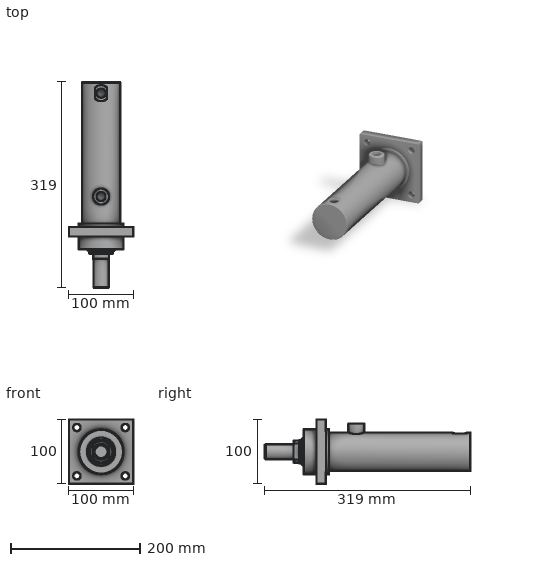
import cadquery as cq
import math

TOTAL_LENGTH = 319.0

SHOULDER_Y = 45.0
COLLAR_FRONT_Y = 53.3
CONE_FRONT_Y = 56.8
HEAD_FRONT_Y = 60.0
FLANGE_FRONT_Y = 80.0
FLANGE_THICKNESS = 15.0
HEAD_REAR_Y = 100.0

ROD_DIAMETER = 35.0
ROD_FLAT_WIDTH = 25.0
ROD_SHOULDER_CHAMFER = 1.0
STUD_DIAMETER = 24.0
STUD_CHAMFER = 2.0
ROD_REAR_Y = HEAD_REAR_Y

TUBE_DIAMETER = 60.0
HEAD_DIAMETER = 70.0
CONE_DIAMETER = 43.7
EDGE_CHAMFER = 1.0
COLLAR_DIAMETER = ROD_DIAMETER + 2 * EDGE_CHAMFER
FLANGE_SIZE = 100.0
BOLT_SPACING = 75.0
BOLT_HOLE_DIAMETER = 11.0

PORT_HOLE_DIAMETER = 14.5
PORT_HOLE_DEPTH = 14.5
DRILL_TIP_ANGLE = 118.0
BOSS_DIAMETER = 25.0
BOSS_Y = 142.0
BOSS_TOP_Z = 44.0
BOSS_FILLET = 2.0
SPOTFACE_DIAMETER = 25.0
SPOTFACE_Y = TOTAL_LENGTH - 17.0
SPOTFACE_WIDTH = 18.5
SPOTFACE_Z = math.sqrt((TUBE_DIAMETER / 2) ** 2 - (SPOTFACE_WIDTH / 2) ** 2)


def revolve_about_y(outline):
    """Solid of revolution about Y from (radius, y) points."""
    return cq.Workplane("XY").polyline(outline).close().revolve(360, (0, 0, 0), (0, 1, 0))


def port_hole(y, top_z):
    """Blind drilled hole with a conical bottom, opening upward at top_z."""
    radius = PORT_HOLE_DIAMETER / 2
    tip_height = radius / math.tan(math.radians(DRILL_TIP_ANGLE / 2))
    bottom_z = top_z - PORT_HOLE_DEPTH
    outline = [(0, top_z), (radius, top_z), (radius, bottom_z), (0, bottom_z - tip_height)]
    drill = cq.Workplane("XZ").polyline(outline).close().revolve(360, (0, 0, 0), (0, 1, 0))
    return drill.translate((0, y, 0))


def make_turned_housing():
    """Tube, head, cone and collar around the rod."""
    tube_radius = TUBE_DIAMETER / 2
    head_radius = HEAD_DIAMETER / 2
    collar_radius = COLLAR_DIAMETER / 2
    return revolve_about_y([
        (0, COLLAR_FRONT_Y),
        (ROD_DIAMETER / 2, COLLAR_FRONT_Y),
        (collar_radius, COLLAR_FRONT_Y + EDGE_CHAMFER),
        (collar_radius, CONE_FRONT_Y),
        (CONE_DIAMETER / 2, HEAD_FRONT_Y),
        (head_radius - EDGE_CHAMFER, HEAD_FRONT_Y),
        (head_radius, HEAD_FRONT_Y + EDGE_CHAMFER),
        (head_radius, HEAD_REAR_Y),
        (tube_radius, HEAD_REAR_Y),
        (tube_radius, TOTAL_LENGTH - EDGE_CHAMFER),
        (tube_radius - EDGE_CHAMFER, TOTAL_LENGTH),
        (0, TOTAL_LENGTH),
    ])


def make_flange():
    """Square mounting plate with a bolt hole near each corner."""
    plate = cq.Workplane("XZ").rect(FLANGE_SIZE, FLANGE_SIZE).extrude(-FLANGE_THICKNESS)
    holes = (
        cq.Workplane("XZ")
        .rect(BOLT_SPACING, BOLT_SPACING, forConstruction=True)
        .vertices()
        .circle(BOLT_HOLE_DIAMETER / 2)
        .extrude(-FLANGE_THICKNESS)
    )
    return plate.cut(holes).translate((0, FLANGE_FRONT_Y, 0))


def make_port_boss():
    """Round stub on top of the tube that carries the front port."""
    boss = cq.Workplane("XY").circle(BOSS_DIAMETER / 2).extrude(BOSS_TOP_Z)
    return boss.faces(">Z").edges().fillet(BOSS_FILLET).translate((0, BOSS_Y, 0))


def make_spotface():
    """Cutter for the flat seat around the rear port."""
    seat = cq.Workplane("XY", origin=(0, SPOTFACE_Y, SPOTFACE_Z))
    return seat.circle(SPOTFACE_DIAMETER / 2).extrude(TUBE_DIAMETER / 2)


def make_rod():
    """Rod with wrench flats just outside the collar and a stud at its tip."""
    rod_radius = ROD_DIAMETER / 2
    stud_radius = STUD_DIAMETER / 2
    rod = revolve_about_y([
        (0, 0),
        (stud_radius - STUD_CHAMFER, 0),
        (stud_radius, STUD_CHAMFER),
        (stud_radius, SHOULDER_Y),
        (rod_radius - ROD_SHOULDER_CHAMFER, SHOULDER_Y),
        (rod_radius, SHOULDER_Y + ROD_SHOULDER_CHAMFER),
        (rod_radius, ROD_REAR_Y),
        (0, ROD_REAR_Y),
    ])
    flat_length = COLLAR_FRONT_Y - SHOULDER_Y
    flat_middle_y = (SHOULDER_Y + COLLAR_FRONT_Y) / 2
    cutter_width = ROD_DIAMETER
    for side in (-1, 1):
        cutter_x = side * (ROD_FLAT_WIDTH + cutter_width) / 2
        cutter = cq.Workplane("XY").box(cutter_width, flat_length, ROD_DIAMETER)
        rod = rod.cut(cutter.translate((cutter_x, flat_middle_y, 0)))
    return rod


def make_housing():
    """Complete housing, bored blind for the rod."""
    housing = make_turned_housing().union(make_flange()).union(make_port_boss())
    housing = housing.cut(make_spotface())
    housing = housing.cut(port_hole(SPOTFACE_Y, SPOTFACE_Z))
    housing = housing.cut(port_hole(BOSS_Y, BOSS_TOP_Z))
    rod_bore = (
        cq.Workplane("XZ", origin=(0, COLLAR_FRONT_Y, 0))
        .circle(ROD_DIAMETER / 2)
        .extrude(COLLAR_FRONT_Y - ROD_REAR_Y)
    )
    return housing.cut(rod_bore)


housing = make_housing()
rod = make_rod()
result = cq.Compound.makeCompound([housing.val(), rod.val()])